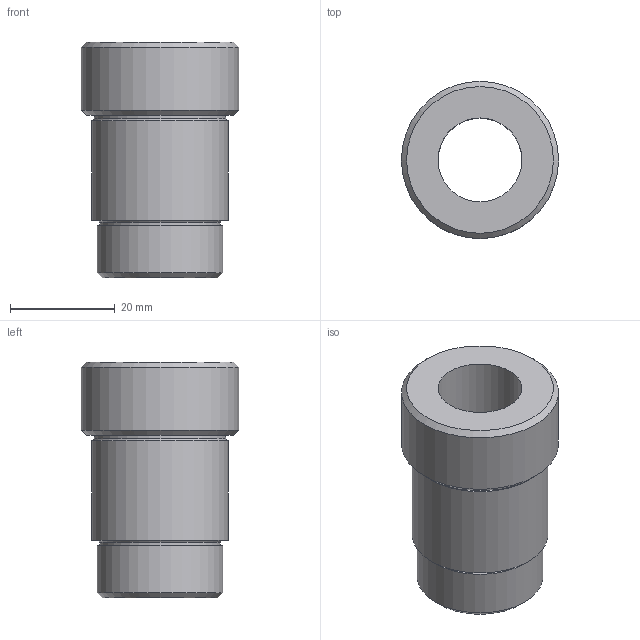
import cadquery as cq
import math

total_height = 45.0
head_height = 14.0
nose_height = 11.0
head_bottom = total_height - head_height

head_radius = 15.0
body_radius = 13.0
nose_radius = 12.0
bore_radius = 8.0

chamfer = 1.0
groove_width = 1.0
groove_depth = 0.5
groove_fillet = groove_depth


def bushing_profile():
    """Half section in the XZ plane, traced from the bottom of the bore outward and up."""
    nose_floor = nose_radius - groove_depth
    nose_groove_bottom = nose_height - groove_width
    body_floor = body_radius - groove_depth
    body_groove_bottom = head_bottom - groove_width
    arc_inset = groove_fillet * (1 - math.sqrt(0.5))

    return (
        cq.Workplane("XZ")
        .moveTo(bore_radius, 0)
        .lineTo(nose_radius - chamfer, 0)
        .lineTo(nose_radius, chamfer)
        .lineTo(nose_radius, nose_groove_bottom)
        .lineTo(nose_floor, nose_groove_bottom)
        .lineTo(nose_floor, nose_height - groove_fillet)
        .threePointArc(
            (nose_floor + arc_inset, nose_height - arc_inset),
            (nose_floor + groove_fillet, nose_height),
        )
        .lineTo(body_radius, nose_height)
        .lineTo(body_radius, body_groove_bottom)
        .threePointArc(
            (body_floor + arc_inset, body_groove_bottom + arc_inset),
            (body_floor, body_groove_bottom + groove_fillet),
        )
        .lineTo(body_floor, head_bottom)
        .lineTo(head_radius - chamfer, head_bottom)
        .lineTo(head_radius, head_bottom + chamfer)
        .lineTo(head_radius, total_height - chamfer)
        .lineTo(head_radius - chamfer, total_height)
        .lineTo(bore_radius, total_height)
        .close()
    )


def make_bushing():
    """Revolve the half section a full turn about the Z axis."""
    axis_start = (0, 0, 0)
    axis_end = (0, 1, 0)
    return bushing_profile().revolve(360, axis_start, axis_end)


result = make_bushing()